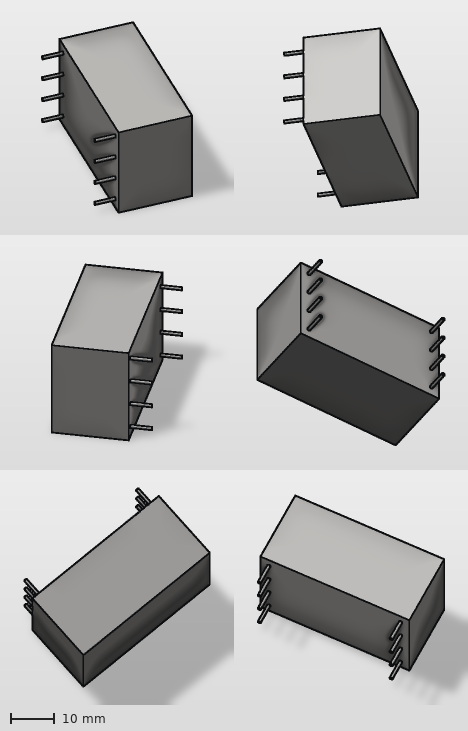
import cadquery as cq

HOUSING_WIDTH = 38.0
HOUSING_DEPTH = 18.0
HOUSING_HEIGHT = 23.0

PIN_DIAMETER = 0.8
PIN_LENGTH = 5.0
PINS_PER_COLUMN = 4
PIN_PITCH = 6.0
COLUMN_SPACING = 33.6


def make_housing():
    """Plain block centred on X and Z, with its pin face at Y = 0."""
    return cq.Workplane("XY").box(
        HOUSING_WIDTH, HOUSING_DEPTH, HOUSING_HEIGHT, centered=(True, False, True)
    )


def make_pin(x, z):
    """Round pin standing on the pin face and pointing toward -Y."""
    return cq.Workplane("XZ").center(x, z).circle(PIN_DIAMETER / 2).extrude(PIN_LENGTH)


housing = make_housing()

pins = []
lowest_pin_z = -(PINS_PER_COLUMN - 1) * PIN_PITCH / 2
for column_x in (-COLUMN_SPACING / 2, COLUMN_SPACING / 2):
    for row in range(PINS_PER_COLUMN):
        pins.append(make_pin(column_x, lowest_pin_z + row * PIN_PITCH))

result = cq.Compound.makeCompound([housing.val(), *[pin.val() for pin in pins]])